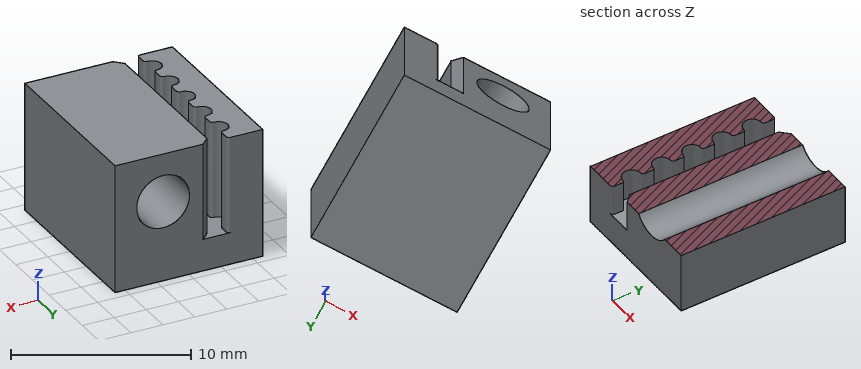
import cadquery as cq

width = 9.24
length = 10.88
height = 8.0
left = -width / 2
front = -length / 2

slot_depth = 6.01
slot_floor = height - slot_depth
tooth_face = left + 2.2
smooth_face = left + 3.23
lead_in = 0.5

groove_count = 5
groove_pitch = 2.0
groove_radius = 0.57
land_rounding = 0.18

hole_diameter = 3.3
hole_x = left + 6.23
hole_drop = 3.0


def make_slot():
    """Plain slot with flared ends on the smooth side."""
    return (
        cq.Workplane("XY", origin=(0, 0, slot_floor))
        .moveTo(tooth_face, front)
        .lineTo(smooth_face + lead_in, front)
        .lineTo(smooth_face, front + lead_in)
        .lineTo(smooth_face, -front - lead_in)
        .lineTo(smooth_face + lead_in, -front)
        .lineTo(tooth_face, -front)
        .close()
        .extrude(slot_depth)
    )


def make_groove(center_y):
    """Half-round groove whose mouth is blended into the slot face."""
    groove_x = tooth_face - land_rounding
    mouth_half = groove_radius + land_rounding
    return (
        cq.Workplane("XY", origin=(0, 0, slot_floor))
        .moveTo(tooth_face, center_y - mouth_half)
        .radiusArc((groove_x, center_y - groove_radius), -land_rounding)
        .radiusArc((groove_x, center_y + groove_radius), groove_radius)
        .radiusArc((tooth_face, center_y + mouth_half), -land_rounding)
        .close()
        .extrude(slot_depth)
    )


def make_end_rounding(end_y, inward):
    """Cutter that rounds the slot edge at one end; inward is the Y direction into the block."""
    center = (tooth_face - land_rounding, end_y + inward * land_rounding)
    corner = (
        cq.Workplane("XY", origin=(0, 0, slot_floor))
        .moveTo(tooth_face - land_rounding / 2, end_y + inward * land_rounding / 2)
        .rect(land_rounding, land_rounding)
        .extrude(slot_depth)
    )
    land = (
        cq.Workplane("XY", origin=(0, 0, slot_floor))
        .moveTo(*center)
        .circle(land_rounding)
        .extrude(slot_depth)
    )
    return corner.cut(land)


result = cq.Workplane("XY").box(width, length, height, centered=(True, True, False))
result = result.cut(make_slot())

for index in range(groove_count):
    groove_y = (index - (groove_count - 1) / 2) * groove_pitch
    result = result.cut(make_groove(groove_y))

for end_y, inward in ((front, 1), (-front, -1)):
    result = result.cut(make_end_rounding(end_y, inward))

hole = (
    cq.Workplane("XZ", origin=(hole_x, -front, height - hole_drop))
    .circle(hole_diameter / 2)
    .extrude(length)
)
result = result.cut(hole)